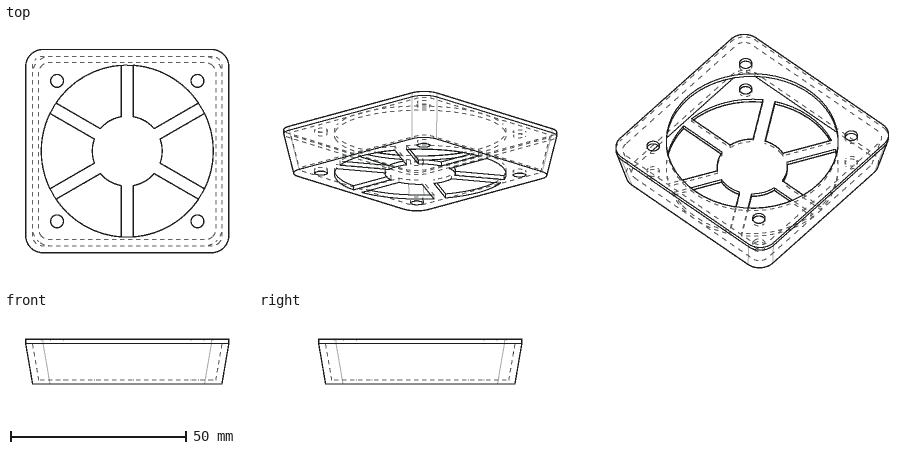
import cadquery as cq

top_width = 58.0
bottom_width = 54.0
total_height = 12.9
lid_thickness = 1.2
floor_thickness = 1.2
wall_thickness = 2.0
corner_radius = 5.0
tray_height = total_height - lid_thickness

opening_diameter = 49.0
hub_diameter = 20.0
spoke_width = 3.5
spoke_count = 6
screw_hole_diameter = 3.6
screw_hole_spacing = 40.0


def rounded_square(width, radius):
    """Sketch of a square with rounded corners."""
    return cq.Sketch().rect(width, width).vertices().fillet(radius)


def tapered_block(lower_width, upper_width, radius, base_z, height):
    """Rounded square block whose sides lean outward toward the top."""
    lower = rounded_square(lower_width, radius)
    upper = rounded_square(upper_width, radius).moved(cq.Location(cq.Vector(0, 0, height)))
    return cq.Workplane("XY").workplane(offset=base_z).placeSketch(lower, upper).loft()


def screw_holes(height):
    """Four cutters, one near each corner."""
    return (
        cq.Workplane("XY")
        .rect(screw_hole_spacing, screw_hole_spacing, forConstruction=True)
        .vertices()
        .circle(screw_hole_diameter / 2)
        .extrude(height)
    )


def grille_openings():
    """Cutter for the gaps between the hub, the spokes and the rim of the floor."""
    gaps = (
        cq.Workplane("XY")
        .circle(opening_diameter / 2)
        .circle(hub_diameter / 2)
        .extrude(floor_thickness)
    )
    spoke_length = opening_diameter / 2
    for index in range(spoke_count):
        spoke = (
            cq.Workplane("XY")
            .center(0, spoke_length / 2)
            .rect(spoke_width, spoke_length)
            .extrude(floor_thickness)
            .rotate((0, 0, 0), (0, 0, 1), index * 360 / spoke_count)
        )
        gaps = gaps.cut(spoke)
    return gaps


def make_tray():
    """Open tapered tray with a spoked grille in its floor."""
    shell = tapered_block(bottom_width, top_width, corner_radius, 0, tray_height)
    floor_width = bottom_width + (top_width - bottom_width) * floor_thickness / tray_height
    cavity = tapered_block(
        floor_width - 2 * wall_thickness,
        top_width - 2 * wall_thickness,
        corner_radius - wall_thickness,
        floor_thickness,
        tray_height - floor_thickness,
    )
    return shell.cut(cavity).cut(grille_openings()).cut(screw_holes(floor_thickness))


def make_lid():
    """Flat cover with a large round opening, resting on the tray rim."""
    plate = cq.Workplane("XY").placeSketch(rounded_square(top_width, corner_radius)).extrude(lid_thickness)
    opening = cq.Workplane("XY").circle(opening_diameter / 2).extrude(lid_thickness)
    lid = plate.cut(opening).cut(screw_holes(lid_thickness))
    return lid.translate((0, 0, tray_height))


tray = make_tray()
lid = make_lid()
result = cq.Compound.makeCompound([tray.val(), lid.val()])